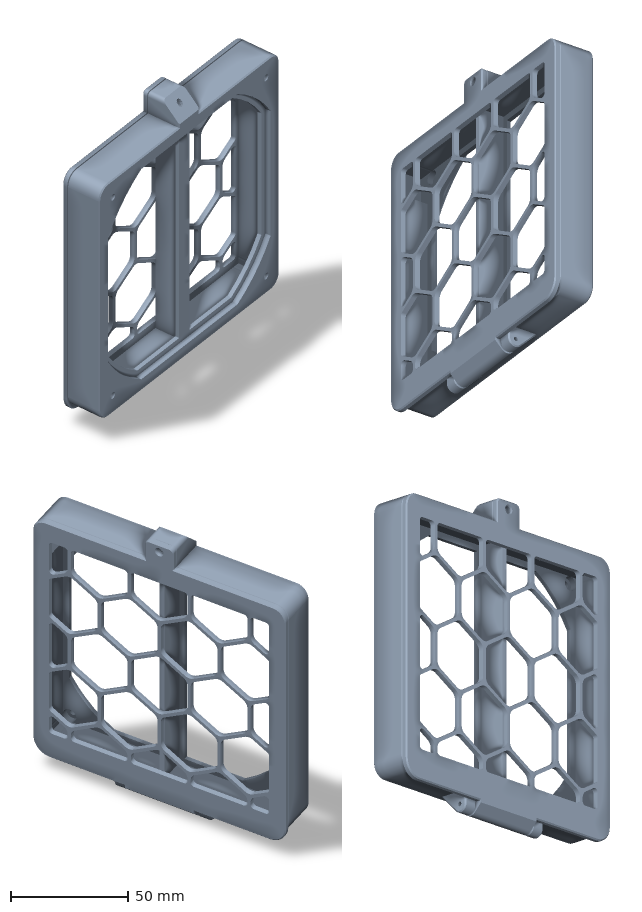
import cadquery as cq
import math


frame_side = 124.8
half_side = frame_side / 2
total_depth = 19.9
cover_thickness = 2.5
corner_radius = 6.2
edge_chamfer = 0.6

tab_width = 14.0
tab_height = 10.9
tab_radius = 2.0
tab_slope_start = 10.9
tab_screw_height = half_side + 7.0
cover_screw_diameter = 3.2
thread_minor_diameter = 2.5
thread_major_diameter = 3.0
thread_pitch = 0.5

wall = 6.1
back_front = 15.1
back_thickness = 2.0
recess_step = 2.9
back_circle_radius = 62.5
back_square_side = 106.8
fan_screw_offset = 53.1
fan_screw_diameter = 3.2
fan_sink_diameter = 6.5
fan_sink_depth = 2.8
corner_pocket_bottom = 41.5
corner_pocket_skin = 1.0
bar_width = 7.3
rib_width = 2.5

hinge_radius = 3.6
hinge_x = cover_thickness + hinge_radius
hinge_z = -half_side - 9.5 + hinge_radius
hinge_pin_diameter = 2.0
lug_inner = 17.4
lug_outer = 23.8
hinge_gap = 0.5
knuckle_relief = 3.2

cover_overhang = 3.8
cover_bottom_radius = 8.1
opening_width = 108.8
opening_height = 105.0
cell_pitch = 29.6
strut_width = 1.6
cell_corner_radius = 4.0
cell_edge_radius = 1.7
grid_centre_z = -3.9

root_half = math.sqrt(0.5)
back_x = total_depth
back_rear = back_front + back_thickness
cover_bottom = -half_side - cover_overhang


def block(x_range, y_range, z_range):
    """Box between two limits on each axis."""
    size = [high - low for low, high in (x_range, y_range, z_range)]
    return cq.Workplane("XY").box(*size, centered=False).translate((x_range[0], y_range[0], z_range[0]))


def rod_x(diameter, x_range, y, z):
    """Cylinder along X."""
    return (
        cq.Workplane("YZ", origin=(x_range[0], y, z)).circle(diameter / 2).extrude(x_range[1] - x_range[0])
    )


def hinge_pin_hole():
    return (
        cq.Workplane("XZ", origin=(hinge_x, half_side, hinge_z))
        .circle(hinge_pin_diameter / 2)
        .extrude(frame_side)
    )


def plate_with_tab(x_range, bottom, bottom_radius):
    """Rounded plate with the screw tab standing on its top edge."""
    plate = block(x_range, (-half_side, half_side), (bottom, half_side))
    plate = plate.edges("|X and >Z").fillet(corner_radius)
    plate = plate.edges("|X and <Z").fillet(bottom_radius)
    tab = block(x_range, (-tab_width / 2, tab_width / 2), (0, half_side + tab_height))
    tab = tab.edges("|X and >Z").fillet(tab_radius)
    return plate.union(tab)


def side_profile(points, y_range):
    """Prism along Y with an outline of (x, z) points."""
    return cq.Workplane("XZ", origin=(0, y_range[1], 0)).polyline(points).close().extrude(y_range[1] - y_range[0])




def hinge_lug(y_low):
    """Rounded lug whose back slopes at 45 degrees up to the underside of the housing."""
    y_range = (y_low, y_low + lug_outer - lug_inner)
    top = -half_side + knuckle_relief + edge_chamfer
    slope_top = -half_side + edge_chamfer
    tangent = hinge_radius * root_half
    slope_foot = (hinge_x + tangent, hinge_z - tangent)
    return (
        cq.Workplane("XZ", origin=(0, y_range[1], 0))
        .moveTo(hinge_x - hinge_radius, top)
        .lineTo(hinge_x - hinge_radius, hinge_z)
        .threePointArc((hinge_x, hinge_z - hinge_radius), slope_foot)
        .lineTo(slope_foot[0] + slope_top - slope_foot[1], slope_top)
        .close()
        .extrude(y_range[1] - y_range[0])
        .faces("<Y or >Y")
        .chamfer(edge_chamfer)
    )


def housing_cavity():
    inner = half_side - wall
    return block((cover_thickness, back_front), (-inner, inner), (-inner, inner))


def round_window(x_range, growth):
    """Large round opening with flattened sides, grown outwards by a margin."""
    half = back_square_side / 2 + growth
    square = block(x_range, (-half, half), (-half, half))
    return rod_x(2 * (back_circle_radius + growth), x_range, 0, 0).intersect(square)


def corner_pocket():
    """Blind pocket in the +Y wall beside the top corner."""
    inner = half_side - wall
    return block(
        (cover_thickness, back_front), (0.9 * inner, half_side - corner_pocket_skin), (corner_pocket_bottom, inner)
    )


def threaded_hole():
    """Screw hole through the tab, its thread simplified to a saw-tooth of rings."""
    minor = thread_minor_diameter / 2
    major = thread_major_diameter / 2
    turns = math.ceil((back_x - cover_thickness) / thread_pitch)
    profile = cq.Workplane("XY").moveTo(cover_thickness, 0).lineTo(cover_thickness, minor)
    for turn in range(turns):
        start = cover_thickness + turn * thread_pitch
        profile = profile.lineTo(start + thread_pitch / 2, major)
        profile = profile.lineTo(start + thread_pitch, minor)
    profile = profile.lineTo(cover_thickness + turns * thread_pitch, 0).close()
    return profile.revolve(360, (0, 0, 0), (1, 0, 0)).translate((0, 0, tab_screw_height))


def make_housing():
    body = plate_with_tab((cover_thickness, back_x), -half_side, corner_radius)
    body = body.faces("<X or >X").chamfer(edge_chamfer)

    tab_top = half_side + tab_height
    slope_run = back_x - tab_slope_start
    slope = [(tab_slope_start, tab_top), (back_x, tab_top), (back_x, tab_top - slope_run)]
    body = body.cut(side_profile(slope, (-tab_width / 2, tab_width / 2)))

    relief = [
        (cover_thickness, -half_side),
        (cover_thickness, -half_side + knuckle_relief),
        (cover_thickness + knuckle_relief, -half_side),
    ]
    body = body.cut(side_profile(relief, (-half_side, half_side)))

    for y_low in (lug_inner, -lug_outer):
        body = body.union(hinge_lug(y_low))
    body = body.cut(housing_cavity()).cut(corner_pocket())
    body = body.cut(round_window((back_front, back_rear), 0))
    body = body.cut(round_window((back_rear, back_x), recess_step))

    inner = half_side - wall
    body = body.union(block((back_front, back_rear), (-bar_width / 2, bar_width / 2), (-inner, inner)))
    body = body.union(block((cover_thickness, back_rear), (-rib_width / 2, rib_width / 2), (-inner, inner)))

    for y in (-fan_screw_offset, fan_screw_offset):
        for z in (-fan_screw_offset, fan_screw_offset):
            body = body.cut(rod_x(fan_screw_diameter, (back_front, back_x), y, z))
            body = body.cut(rod_x(fan_sink_diameter, (cover_thickness, back_front + fan_sink_depth), y, z))

    body = body.cut(threaded_hole())
    body = body.cut(hinge_pin_hole())
    return body




def honeycomb_cell(y, z):
    """One hexagonal opening, clipped to the grille area."""
    across_corners = (cell_pitch - strut_width) / math.cos(math.pi / 6)
    cell = (
        cq.Workplane("YZ", origin=(0, y, z))
        .transformed(rotate=(0, 0, 90))
        .polygon(6, across_corners)
        .extrude(cover_thickness)
        .edges("|X")
        .fillet(cell_corner_radius)
    )
    half_y = opening_width / 2
    half_z = opening_height / 2
    clipped = cell.intersect(block((0, cover_thickness), (-half_y, half_y), (-half_z, half_z)))
    if not clipped.vals() or not clipped.solids().vals():
        return None
    on_border = [
        edge
        for edge in clipped.edges("|X").vals()
        if math.isclose(abs(edge.Center().y), half_y, abs_tol=0.0001)
        or math.isclose(abs(edge.Center().z), half_z, abs_tol=0.0001)
    ]
    if on_border:
        clipped = clipped.newObject(on_border).fillet(cell_edge_radius)
    return clipped


def hinge_knuckle():
    """Barrel between the lugs, joined to the cover by a 45 degree slope."""
    tangent = hinge_radius * root_half
    slope_foot = (hinge_x - tangent, hinge_z - tangent)
    half_length = lug_inner - hinge_gap
    return (
        cq.Workplane("XZ", origin=(0, half_length, 0))
        .moveTo(0, -half_side)
        .lineTo(0, slope_foot[1] + slope_foot[0])
        .lineTo(*slope_foot)
        .threePointArc((hinge_x + hinge_radius, hinge_z), (hinge_x, hinge_z + hinge_radius))
        .lineTo(cover_thickness, hinge_z + hinge_radius)
        .lineTo(cover_thickness, -half_side)
        .close()
        .extrude(2 * half_length)
    )


def make_cover():
    body = plate_with_tab((0, cover_thickness), cover_bottom, cover_bottom_radius)
    body = body.faces("<X").chamfer(edge_chamfer)
    row_pitch = cell_pitch * math.cos(math.pi / 6)
    for row in range(-2, 3):
        shift = 0.5 * (row % 2)
        for column in range(-3, 3):
            cell = honeycomb_cell((column + shift) * cell_pitch, grid_centre_z + row * row_pitch)
            if cell:
                body = body.cut(cell)
    body = body.union(hinge_knuckle())
    body = body.cut(rod_x(cover_screw_diameter, (0, cover_thickness), 0, tab_screw_height))
    sink_diameter = cover_screw_diameter + 2 * edge_chamfer
    sink = (
        cq.Workplane("YZ", origin=(0, 0, tab_screw_height))
        .circle(sink_diameter / 2)
        .workplane(offset=edge_chamfer)
        .circle(cover_screw_diameter / 2)
        .loft()
    )
    return body.cut(sink).cut(hinge_pin_hole())


housing = make_housing()
cover = make_cover()
result = cq.Compound.makeCompound([housing.val(), cover.val()])